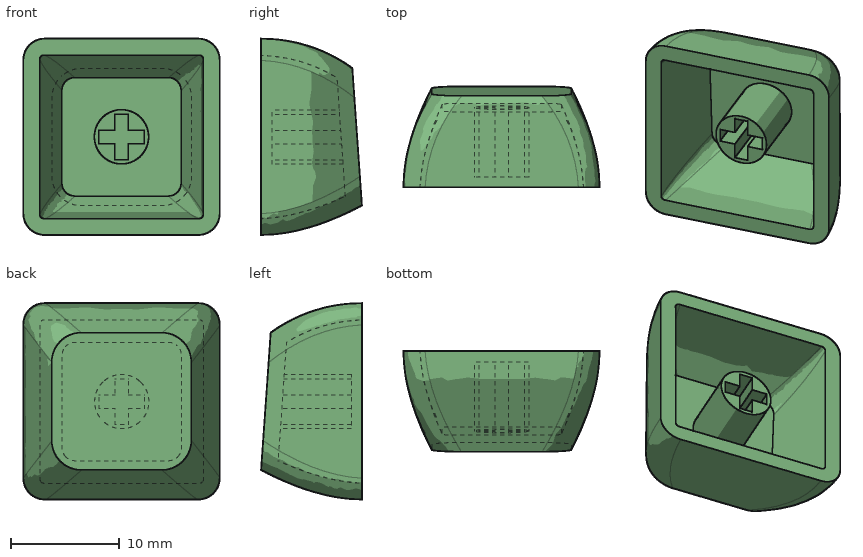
import cadquery as cq
import math

rim_size = 18.1
rim_corner_radius = 2.0
middle_size = 16.7
middle_corner_radius = 2.26
top_width = 12.85
top_length = 12.67
top_corner_radius = 2.72
cap_height = 9.3
top_tilt = 4.0

wall = 1.52
opening_size = rim_size - 2 * wall
opening_corner_radius = 0.4
cavity_middle_size = 13.86
cavity_middle_corner_radius = 0.83
floor_width = 10.97
floor_length = 10.93
floor_corner_radius = 1.18
roof_thickness = 1.5

stem_diameter = 5.0
stem_recess = 1.0
cross_span = 4.18
cross_slot_width = 1.25

top_center_height = cap_height - top_length / 2 * math.sin(math.radians(top_tilt))
floor_height = top_center_height - roof_thickness


def rounded_section(width, length, radius, height, tilt=0.0):
    """Rounded rectangle for the XZ workplane, moved to y = height and tilted about X."""
    outline = cq.Sketch().rect(width, length).vertices().fillet(radius)
    return outline.moved(cq.Location(cq.Vector(0, 0, -height), cq.Vector(1, 0, 0), tilt))


def loft_sections(*sections):
    """Smooth loft through the sections, from the rim toward +Y."""
    return cq.Workplane("XZ").placeSketch(*sections).loft()


def make_outer_form():
    return loft_sections(
        rounded_section(rim_size, rim_size, rim_corner_radius, 0),
        rounded_section(middle_size, middle_size, middle_corner_radius, top_center_height / 2),
        rounded_section(top_width, top_length, top_corner_radius, top_center_height, top_tilt),
    )


def make_cavity():
    return loft_sections(
        rounded_section(opening_size, opening_size, opening_corner_radius, 0),
        rounded_section(
            cavity_middle_size, cavity_middle_size, cavity_middle_corner_radius, floor_height / 2
        ),
        rounded_section(floor_width, floor_length, floor_corner_radius, floor_height, top_tilt),
    )


def make_cross_socket():
    """Cross-shaped cutter, long enough to pass through the whole stem."""
    wide_slot = cq.Workplane("XZ").rect(cross_span, cross_slot_width).extrude(-cap_height)
    tall_slot = cq.Workplane("XZ").rect(cross_slot_width, cross_span).extrude(-cap_height)
    return wide_slot.union(tall_slot)


def make_stem(cavity):
    """Round stem ending on the tilted cavity floor, with the cross socket along its length."""
    blank = cq.Workplane("XZ", origin=(0, stem_recess, 0)).circle(stem_diameter / 2).extrude(-cap_height)
    return blank.intersect(cavity).cut(make_cross_socket())


cavity = make_cavity()
keycap = make_outer_form().cut(cavity)
stem = make_stem(cavity)

result = cq.Compound.makeCompound([keycap.solids().val(), stem.solids().val()])